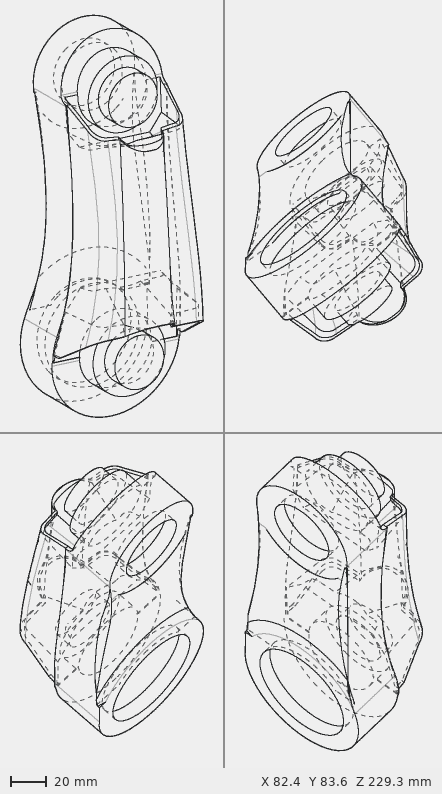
import cadquery as cq
import math

length = 229.3
big_radius = 41.7
small_radius = 33.3
big_z = big_radius
small_z = length - small_radius
recess_depth = 8.5
big_recess_diameter = 61.5
small_recess_diameter = 40.0

small_flank_rise = -3.0
big_left_flank_rise = 3.5
big_right_flank_rise = 14.7

small_bosses = [(45.2, 41.5), (31.9, 52.5)]
big_bosses = [(47.2, 48.5), (32.0, 59.5)]
boss_root_x = 23.5

seam_x = 34.9

top_back_x = 24.0
top_root = (29.5, 198.1)
top_blend = (31.2, 195.5)
cover_top_start = (34.9, 193.8)
cover_top_end = (71.5, 172.2)
cover_bottom_end = (82.3, 71.0)
cover_bottom_start = (37.8, 44.5)
bottom_blend = (35.0, 42.5)
bottom_root = (33.7, 39.2)
bottom_back_x = 29.5

side_lean = 2.3
corner_size = 7.8
face_lean = 1.0
corner_bulge_x = 0.75
corner_bulge_y = 0.3

clearance = 2.3
trim_width = 4 * big_radius

scoop_depth = 2.3
scoop_top_z = 189.2
scoop_bend = (0.35, 156.0)
scoop_flat_top_z = 119.2
scoop_bottom_z = 62.0
ledge_run = 7.8

bevel_stations = [(190.3, 1.0, 0.5), (151.4, 5.0, 3.2), (101.0, 5.5, 3.5), (68.8, 1.0, 0.7)]

rim_wall = 1.5
floor_shrink_x = 0.25
floor_shrink_y = 0.75
top_cavity = (206.5, 175.5, 165.0)
top_cavity_x = 30.3
bottom_cavity = (41.3, 70.0, 82.5)
bottom_cavity_x = 34.0


def half_width(radius, offset):
    """Half chord of a circle at a distance from its centre."""
    return math.sqrt(radius**2 - offset**2)


station_top_z = 201.8
station_bottom_z = 45.9
top_half = half_width(small_radius, station_top_z - small_z)
bottom_half = half_width(big_radius, station_bottom_z - big_z)
middle_stations = [
    (151.4, -29.4, 34.9, 56.2, 64.2, 71.5, 14.2),
    (101.0, -29.4, 39.5, 59.6, 67.9, 76.0, 15.0),
    (68.8, -34.6, 41.7, 59.9, 69.3, 83.0, 15.4),
]
stations = (
    [(station_top_z, -top_half, top_half, 49.8, 59.0, 72.5, 13.8)]
    + middle_stations
    + [(station_bottom_z, -bottom_half, bottom_half, 59.6, 70.0, 88.3, 15.5)]
)


def rim_point(centre_z, radius, dz, side):
    """Point on a ring outline and the downward tangent there, in (Y, Z)."""
    y = side * half_width(radius, dz)
    tangent = (side * dz / radius, -abs(y) / radius)
    return (y, centre_z + dz), tangent


def cylinder_x(diameter, centre_z, x_start, x_end):
    return (
        cq.Workplane("YZ", origin=(x_start, 0, centre_z))
        .circle(diameter / 2)
        .extrude(x_end - x_start)
    )


def plan_outline():
    """Outline of the arm in the YZ plane: two ring arcs joined by curved flanks."""
    small_left, small_left_dir = rim_point(small_z, small_radius, small_flank_rise, 1)
    small_right, small_right_dir = rim_point(small_z, small_radius, small_flank_rise, -1)
    big_left, big_left_dir = rim_point(big_z, big_radius, big_left_flank_rise, 1)
    big_right, big_right_dir = rim_point(big_z, big_radius, big_right_flank_rise, -1)
    left = [small_left] + [(s[2], s[0]) for s in middle_stations] + [big_left]
    right = [small_right] + [(s[1], s[0]) for s in middle_stations] + [big_right]
    upward = [(-big_right_dir[0], -big_right_dir[1]), (-small_right_dir[0], -small_right_dir[1])]
    return (
        cq.Workplane("YZ")
        .moveTo(*small_right)
        .threePointArc((0, length), small_left)
        .spline(left[1:], tangents=[small_left_dir, big_left_dir], includeCurrent=True)
        .threePointArc((0, 0), big_right)
        .spline(right[::-1][1:], tangents=upward, includeCurrent=True)
        .close()
    )


def station_at(z):
    """Cover station at any height, blended between its neighbours."""
    upper, lower = stations[0], stations[1]
    for above, below in zip(stations, stations[1:]):
        if z <= above[0]:
            upper, lower = above, below
    share = (upper[0] - z) / (upper[0] - lower[0])
    return tuple(a + (b - a) * share for a, b in zip(upper, lower))


def cover_section(station, start_x, inset=0.0, shrink_x=1.0, shrink_y=1.0):
    """Closed cross-section of the cover, drawn in by a wall and shrunk about its start."""
    z, y_min, y_max, shoulder_x, face_x, crest_x, crest_half = station

    def point(x, y):
        return (start_x + (x - start_x) * shrink_x, y * shrink_y)

    low, high = y_min + inset, y_max - inset
    shoulder_x, face_x, crest_x = shoulder_x - inset, face_x - inset, crest_x - inset
    corner_x = face_x - face_lean
    bend_x = shoulder_x + corner_bulge_x * (corner_x - shoulder_x)
    bend = side_lean + corner_bulge_y * corner_size
    corner_end = side_lean + corner_size
    return (
        cq.Workplane("XY", origin=(0, 0, z))
        .moveTo(*point(start_x, low))
        .lineTo(*point(shoulder_x, low + side_lean))
        .threePointArc(point(bend_x, low + bend), point(corner_x, low + corner_end))
        .lineTo(*point(face_x, -crest_half))
        .threePointArc(point(crest_x, 0), point(face_x, crest_half))
        .lineTo(*point(corner_x, high - corner_end))
        .threePointArc(point(bend_x, high - bend), point(shoulder_x, high - side_lean))
        .lineTo(*point(start_x, high))
        .close()
        .wires()
        .val()
    )


def cover():
    return cq.Workplane(cq.Solid.makeLoft([cover_section(s, seam_x) for s in stations]))


def back_silhouette():
    """Side profile limiting the arm, swept across its full width; its X limit clears the crest."""
    outer_x = cover_bottom_end[0] + 3 * clearance
    return (
        cq.Workplane("XZ", origin=(0, trim_width / 2, 0))
        .moveTo(0, 0)
        .lineTo(0, length)
        .lineTo(top_back_x, length)
        .lineTo(*top_root)
        .threePointArc(top_blend, cover_top_start)
        .lineTo(*cover_top_end)
        .lineTo(outer_x, cover_top_end[1])
        .lineTo(outer_x, cover_bottom_end[1] + 2 * clearance)
        .lineTo(*cover_bottom_end)
        .lineTo(*cover_bottom_start)
        .threePointArc(bottom_blend, bottom_root)
        .lineTo(bottom_back_x, 0)
        .close()
        .extrude(trim_width)
    )


def front_scoop():
    """Material removed from the front face, leaving both ring faces standing."""
    scoop = (
        cq.Workplane("XZ", origin=(0, trim_width / 2, 0))
        .moveTo(scoop_depth, scoop_bottom_z)
        .spline(
            [(scoop_depth, scoop_flat_top_z), scoop_bend, (0, scoop_top_z)],
            tangents=[(0, 1), (0, 1)],
            includeCurrent=True,
        )
        .lineTo(-clearance, scoop_top_z)
        .lineTo(-clearance, scoop_bottom_z)
        .close()
        .extrude(trim_width)
    )
    ledge = (
        cq.Workplane("YZ", origin=(0, 0, big_z))
        .circle(big_radius)
        .workplane(offset=scoop_depth)
        .circle(big_radius + ledge_run)
        .loft()
    )
    ring = cylinder_x(2 * small_radius, small_z, -clearance, scoop_depth)
    return scoop.cut(ring).cut(ledge)


def flank_bevel(side):
    """Tapering wedge along the front edge of one flank; side is +1 or -1 along Y."""
    sections = []
    for z, depth, width in bevel_stations:
        station = station_at(z)
        edge_y = station[2] if side > 0 else station[1]
        section = cq.Workplane("XY", origin=(0, 0, z)).polyline(
            [
                (0, edge_y - side * width),
                (depth, edge_y),
                (depth, edge_y + side * clearance),
                (0, edge_y + side * clearance),
            ]
        )
        sections.append(section.close().wires().val())
    return cq.Workplane(cq.Solid.makeLoft(sections))


def boss_cavity(heights, start_x):
    """Hollow around a boss, narrowing from the cover rim to a smaller floor."""
    mouth_z, waist_z, floor_z = heights
    return cq.Workplane(
        cq.Solid.makeLoft(
            [
                cover_section(station_at(mouth_z), start_x, rim_wall),
                cover_section(station_at(waist_z), start_x, rim_wall),
                cover_section(station_at(floor_z), start_x, rim_wall, floor_shrink_x, floor_shrink_y),
            ],
            True,
        )
    )


body = plan_outline().extrude(seam_x).union(cover()).intersect(back_silhouette())
body = body.cut(front_scoop())
for flank in (1, -1):
    body = body.cut(flank_bevel(flank))
result = body.cut(boss_cavity(top_cavity, top_cavity_x)).cut(boss_cavity(bottom_cavity, bottom_cavity_x))
for ring_z, diameter, bosses in (
    (small_z, small_recess_diameter, small_bosses),
    (big_z, big_recess_diameter, big_bosses),
):
    for boss_diameter, end_x in bosses:
        result = result.union(cylinder_x(boss_diameter, ring_z, boss_root_x, end_x))
    result = result.cut(cylinder_x(diameter, ring_z, 0, recess_depth))